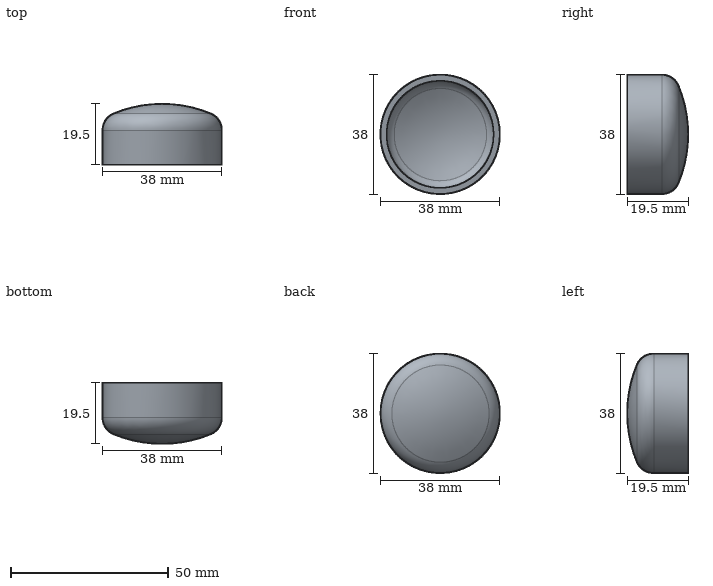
import cadquery as cq
import math

outer_diameter = 38.0
wall = 2.0
skirt_length = 11.0
inner_crown_radius = outer_diameter
inner_knuckle_radius = 0.1 * outer_diameter

outer_radius = outer_diameter / 2
inner_radius = outer_radius - wall

knuckle_center_x = inner_radius - inner_knuckle_radius
knuckle_center_y = skirt_length
center_distance = inner_crown_radius - inner_knuckle_radius
tangent_angle = math.asin(knuckle_center_x / center_distance)
crown_center_y = knuckle_center_y - center_distance * math.cos(tangent_angle)


def knuckle_point(radius, angle):
    """Point on a knuckle arc, with the angle measured from the part axis."""
    return (
        knuckle_center_x + radius * math.sin(angle),
        knuckle_center_y + radius * math.cos(angle),
    )


def crown_point(radius, angle):
    """Point on a crown arc, with the angle measured from the part axis."""
    return (radius * math.sin(angle), crown_center_y + radius * math.cos(angle))


def domed_body(offset):
    """Solid dome with its surface lying the given offset outside the inner surface."""
    skirt_radius = inner_radius + offset
    knuckle_radius = inner_knuckle_radius + offset
    crown_radius = inner_crown_radius + offset
    knuckle_middle = (tangent_angle + math.pi / 2) / 2
    profile = (
        cq.Workplane("XY")
        .lineTo(skirt_radius, 0)
        .lineTo(skirt_radius, skirt_length)
        .threePointArc(
            knuckle_point(knuckle_radius, knuckle_middle),
            knuckle_point(knuckle_radius, tangent_angle),
        )
        .threePointArc(
            crown_point(crown_radius, tangent_angle / 2),
            crown_point(crown_radius, 0),
        )
        .close()
    )
    return profile.revolve(360, (0, 0, 0), (0, 1, 0))


result = domed_body(wall).cut(domed_body(0))